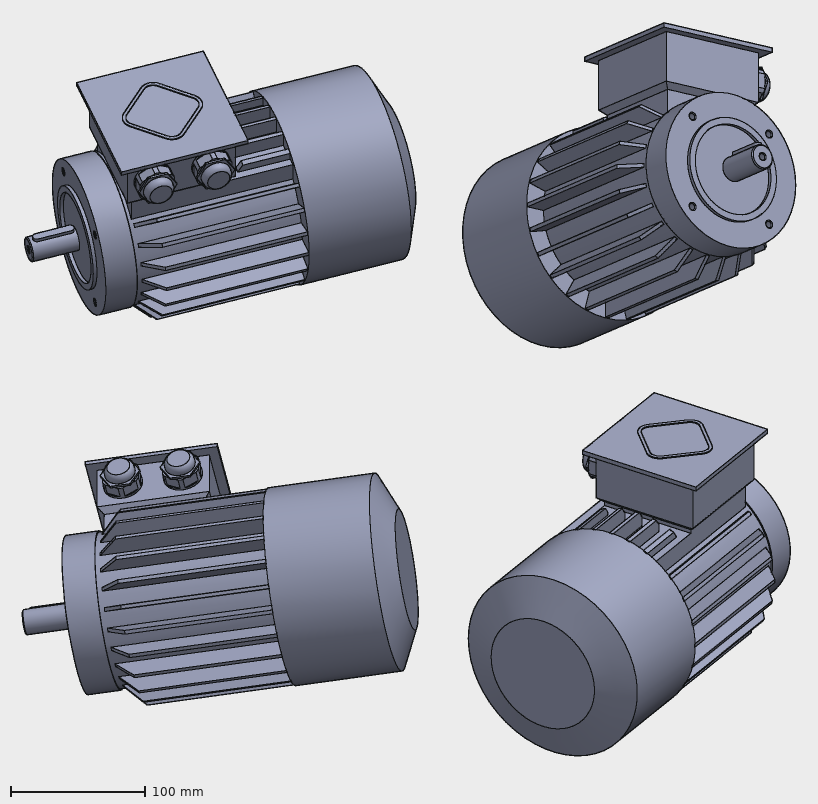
import cadquery as cq
import math


flange_dia = 120.0
flange_thick = 25.0
pilot_dia = 80.0
pilot_bore_dia = 70.0
pilot_height = 3.0
body_dia = 118.0
cover_dia = 149.0
cover_end_dia = 91.0
cover_front_y = 155.5
cover_taper_y = 236.0
cover_end_y = 250.0

hole_dia = 5.0
hole_mouth_dia = 6.5
hole_depth = 8.7
drill_point_angle = 118
hole_circle_dia = 100.0
hole_count = 4

shaft_dia = 19.0
shaft_end_y = -40.0
shaft_chamfer = 1.0
key_width = 6.0
key_length = 32.5
key_front_y = -36.5
key_top_z = 12.0
key_bottom_z = 6.0

rib_tip_radius = 73.7
rib_thick = 3.0
rib_pitch_angle = 15
rib_first_angle = -225
rib_count = 19
rib_end_y = 27.8
rib_slope_y = 43.2
rib_end_radius = 58.0
rib_root_radius = 52.2

top_rib_pitch = 15.0
top_rib_thicknesses = {-2: 3.5, -1: rib_thick, 0: rib_thick, 1: rib_thick, 2: 3.5}
top_rib_end_y = 114.0
top_rib_slope_y = 118.0
top_rib_end_radius = 68.5

box_centre_y = 65.8
box_side = 85.3
neck_side = 76.0
neck_top_z = 63.5
box_bottom_z = 68.0
lid_side = 100.0
lid_thick = 3.5
saddle_top_z = 60.3
badge_height = 1.0
total_top_z = 111.0
lid_top_z = total_top_z - badge_height
box_top_z = lid_top_z - lid_thick

badge_side = 50.0
badge_corner_radius = 10.2
badge_rim = 2.5

gland_pitch = 45.5
gland_z = 88.2
gland_dia = 29.5
gland_collar_length = 1.7
gland_nut_end = 10.5
gland_nut_flats = 27.3
gland_cap_end = 12.2
gland_cap_corners = 30.2
gland_neck_dia = 23.2
gland_neck_end = 14.0
gland_dome_end = 18.8
gland_tip_dia = 17.5


def disc(diameter, y_start, y_end):
    """Cylinder on the shaft axis between two Y positions."""
    return cq.Workplane("XZ", origin=(0, y_start, 0)).circle(diameter / 2).extrude(y_start - y_end)


def revolved(points):
    """Solid of revolution about the shaft axis from (radius, y) points."""
    return cq.Workplane("XY").polyline(points).close().revolve(360, (0, 0, 0), (0, 1, 0))


def block(x_size, y_start, y_end, z_start, z_end):
    """Box centred on X between the given Y and Z limits."""
    return (
        cq.Workplane("XY", origin=(0, (y_start + y_end) / 2, z_start))
        .rect(x_size, y_end - y_start)
        .extrude(z_end - z_start)
    )


def make_fan_cover():
    return revolved([
        (0, cover_front_y),
        (cover_dia / 2, cover_front_y),
        (cover_dia / 2, cover_taper_y),
        (cover_end_dia / 2, cover_end_y),
        (0, cover_end_y),
    ])


def make_flange():
    flange = disc(flange_dia, 0, flange_thick)
    pilot = disc(pilot_dia, -pilot_height, 0).cut(disc(pilot_bore_dia, -pilot_height, 0))
    return flange.union(pilot)


def make_hole(y_face, x=0, z=0):
    """Blind drilled hole running in +Y from a face, with a 45-degree countersink and a conical tip."""
    radius = hole_dia / 2
    mouth_radius = hole_mouth_dia / 2
    tip_length = radius / math.tan(math.radians(drill_point_angle / 2))
    return revolved([
        (0, y_face),
        (mouth_radius, y_face),
        (radius, y_face + mouth_radius - radius),
        (radius, y_face + hole_depth),
        (0, y_face + hole_depth + tip_length),
    ]).translate((x, 0, z))


def make_rib():
    """One rib pointing along +X."""
    outline = [
        (rib_root_radius, rib_end_y),
        (rib_end_radius, rib_end_y),
        (rib_tip_radius, rib_slope_y),
        (rib_tip_radius, cover_front_y),
        (rib_root_radius, cover_front_y),
    ]
    return cq.Workplane("XY").polyline(outline).close().extrude(rib_thick / 2, both=True)


def make_top_ribs():
    """Upright ribs whose tips follow the same round envelope as the other ribs."""
    envelope = revolved([
        (0, top_rib_end_y),
        (top_rib_end_radius, top_rib_end_y),
        (rib_tip_radius, top_rib_slope_y),
        (rib_tip_radius, cover_front_y),
        (0, cover_front_y),
    ])
    slabs = cq.Workplane("XY")
    for position, thickness in top_rib_thicknesses.items():
        slab = block(thickness, top_rib_end_y, cover_front_y, rib_root_radius, rib_tip_radius)
        slabs = slabs.union(slab.translate((position * top_rib_pitch, 0, 0)))
    return slabs.intersect(envelope)


def square_prism(side, z_start, z_end):
    """Square block centred on the terminal box."""
    return block(side, box_centre_y - side / 2, box_centre_y + side / 2, z_start, z_end)


def make_terminal_box():
    saddle = block(neck_side, box_centre_y - neck_side / 2, cover_front_y, 0, saddle_top_z)
    neck = square_prism(neck_side, 0, neck_top_z)
    flare = (
        cq.Workplane("XY", origin=(0, box_centre_y, neck_top_z))
        .rect(neck_side, neck_side)
        .workplane(offset=box_bottom_z - neck_top_z)
        .rect(box_side, box_side)
        .loft(ruled=True)
    )
    chest = square_prism(box_side, box_bottom_z, box_top_z)
    lid = square_prism(lid_side, box_top_z, lid_top_z)
    return saddle.union(neck).union(flare).union(chest).union(lid).union(make_badge())


def make_badge():
    def rounded_square(side, corner_radius):
        return (
            cq.Workplane("XY", origin=(0, box_centre_y, lid_top_z))
            .transformed(rotate=(0, 0, 45))
            .rect(side, side)
            .extrude(badge_height)
            .edges("|Z")
            .fillet(corner_radius)
        )

    outer = rounded_square(badge_side, badge_corner_radius)
    inner = rounded_square(badge_side - 2 * badge_rim, badge_corner_radius - badge_rim)
    return outer.cut(inner)


def make_gland():
    """Cable gland pointing along +X from its seat at X = 0."""
    collar = cq.Workplane("YZ").circle(gland_dia / 2).extrude(gland_nut_end)
    flats = (
        cq.Workplane("YZ", origin=(gland_collar_length, 0, 0))
        .polygon(6, gland_nut_flats, circumscribed=True)
        .extrude(gland_nut_end - gland_collar_length)
    )
    round_seat = cq.Workplane("YZ").circle(gland_dia / 2).extrude(gland_collar_length)
    nut = collar.intersect(flats.union(round_seat))
    cap = (
        cq.Workplane("YZ", origin=(gland_nut_end, 0, 0))
        .polygon(6, gland_cap_corners)
        .extrude(gland_cap_end - gland_nut_end)
    )
    dome = (
        cq.Workplane("XY")
        .moveTo(0, 0)
        .lineTo(0, gland_neck_dia / 2)
        .lineTo(gland_neck_end, gland_neck_dia / 2)
        .tangentArcPoint((gland_dome_end, gland_tip_dia / 2), relative=False)
        .lineTo(gland_dome_end, 0)
        .close()
        .revolve(360, (0, 0, 0), (1, 0, 0))
    )
    return nut.union(cap).union(dome)


def make_shaft():
    shaft = disc(shaft_dia, shaft_end_y, -pilot_height).faces("<Y").chamfer(shaft_chamfer)
    return shaft.union(make_key()).cut(make_hole(shaft_end_y))


def make_key():
    """Parallel key with round ends, lying along Y in the top of the shaft."""
    return (
        cq.Workplane("XY", origin=(0, key_front_y + key_length / 2, key_bottom_z))
        .slot2D(key_length, key_width, 90)
        .extrude(key_top_z - key_bottom_z)
    )


def make_housing():
    housing = disc(body_dia, 0, cover_front_y).union(make_fan_cover()).union(make_flange())
    rib = make_rib()
    for index in range(rib_count):
        angle = rib_first_angle + index * rib_pitch_angle
        housing = housing.union(rib.rotate((0, 0, 0), (0, 1, 0), -angle))
    housing = housing.union(make_top_ribs()).union(make_terminal_box())
    gland = make_gland()
    for side in (-1, 1):
        gland_y = box_centre_y + side * gland_pitch / 2
        housing = housing.union(gland.translate((box_side / 2, gland_y, gland_z)))
    for index in range(hole_count):
        angle = math.radians(45 + index * 360 / hole_count)
        hole_radius = hole_circle_dia / 2
        housing = housing.cut(make_hole(0, hole_radius * math.cos(angle), hole_radius * math.sin(angle)))
    return housing


housing = make_housing()
shaft = make_shaft()

result = cq.Compound.makeCompound([housing.val(), shaft.val()])